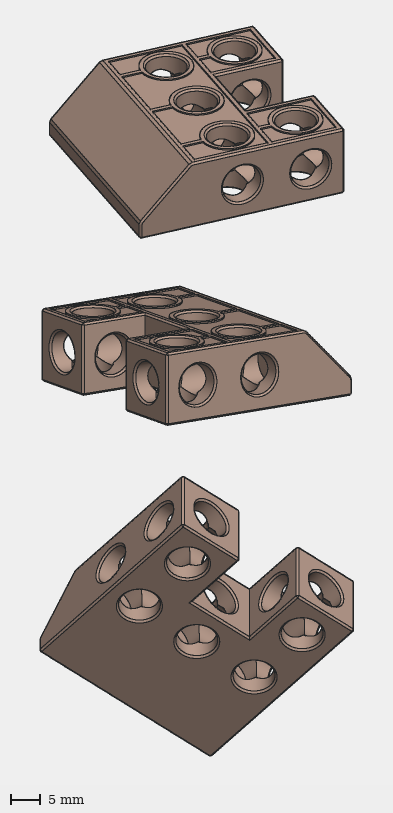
import cadquery as cq

unit = 12.5
units_per_side = 3
width = units_per_side * unit
length = units_per_side * unit
height = unit
side_x = width / 2
back_y = length / 2
front_y = -back_y
top_z = height / 2

notch_width = unit
notch_front_y = unit / 2

slope_run = 0.75 * unit

hole_diameter = 7.0
column_xs = (-unit, 0, unit)
arm_xs = (-unit, unit)
arm_hole_y = unit
side_hole_ys = (0, arm_hole_y)
back_bore_front_y = -unit / 2

edge_chamfer = 0.35

rib_width = 0.75
recess_depth = 0.25
rim_diameter = hole_diameter + 2 * edge_chamfer + 2 * rib_width


def make_body():
    """Sloped block with the rear slot and all convex edges bevelled."""
    body = (
        cq.Workplane("YZ")
        .moveTo(front_y, -top_z)
        .lineTo(back_y, -top_z)
        .lineTo(back_y, top_z)
        .lineTo(front_y + slope_run, top_z)
        .lineTo(front_y, top_z - slope_run)
        .close()
        .extrude(side_x, both=True)
    )
    notch_depth = back_y - notch_front_y
    notch_center = (0, (back_y + notch_front_y) / 2, 0)
    notch = cq.Workplane("XY").box(notch_width, notch_depth, height).translate(notch_center)
    corner_x = notch_width / 2 + edge_chamfer
    inner_corners = cq.selectors.BoxSelector(
        (-corner_x, notch_front_y - edge_chamfer, -edge_chamfer),
        (corner_x, notch_front_y + edge_chamfer, edge_chamfer),
    )
    body = body.cut(notch)
    convex_edges = cq.selectors.InverseSelector(inner_corners)
    return body.edges(convex_edges).chamfer(edge_chamfer)


def bore(start, end):
    """Straight bore from start to end."""
    axis = cq.Vector(*end) - cq.Vector(*start)
    return cq.Solid.makeCylinder(hole_diameter / 2, axis.Length, cq.Vector(*start), axis)


def mouth(center, outward):
    """Conical bevel where a bore meets a flat face with the given outward direction."""
    return cq.Solid.makeCone(
        hole_diameter / 2 + edge_chamfer,
        hole_diameter / 2,
        edge_chamfer,
        cq.Vector(*center),
        cq.Vector(*outward) * -1,
    )


def cut_upright_holes(body):
    """Through holes along Z: three across the main block and one in each arm."""
    spots = [(x, 0) for x in column_xs] + [(x, arm_hole_y) for x in arm_xs]
    for x, y in spots:
        body = body.cut(bore((x, y, -top_z), (x, y, top_z)))
        for direction in (-1, 1):
            body = body.cut(mouth((x, y, direction * top_z), (0, 0, direction)))
    return body


def cut_side_holes(body):
    """Through holes along X: one across the main block and one across both arms."""
    for y in side_hole_ys:
        body = body.cut(bore((-side_x, y, 0), (side_x, y, 0)))
        for direction in (-1, 1):
            body = body.cut(mouth((direction * side_x, y, 0), (direction, 0, 0)))
    for direction in (-1, 1):
        body = body.cut(mouth((direction * notch_width / 2, arm_hole_y, 0), (-direction, 0, 0)))
    return body


def cut_back_bores(body):
    """Blind bores along Y, opening in the arm ends and in the floor of the slot."""
    for x in column_xs:
        mouth_y = notch_front_y if x == 0 else back_y
        body = body.cut(bore((x, back_bore_front_y, 0), (x, mouth_y, 0)))
        body = body.cut(mouth((x, mouth_y, 0), (0, 1, 0)))
    return body


def recess(x_min, x_max, y_min, y_max, rims):
    """Rectangular recess that spares a rim around each hole and a rib from the rim forward."""
    floor_z = top_z - recess_depth
    pocket = (
        cq.Workplane("XY", origin=(0, 0, floor_z))
        .moveTo((x_min + x_max) / 2, (y_min + y_max) / 2)
        .rect(x_max - x_min, y_max - y_min)
        .extrude(recess_depth)
    )
    for x, y in rims:
        rim = cq.Workplane("XY", origin=(x, y, floor_z)).circle(rim_diameter / 2).extrude(recess_depth)
        rib_length = y - y_min
        rib = (
            cq.Workplane("XY", origin=(x, y - rib_length / 2, floor_z))
            .rect(rib_width, rib_length)
            .extrude(recess_depth)
        )
        pocket = pocket.cut(rim).cut(rib)
    return pocket


def cut_recesses(body):
    """Recesses over the main block and over each arm."""
    margin = edge_chamfer + rib_width
    outer_x = side_x - margin
    arm_inner_x = notch_width / 2 + margin
    arm_front_y = notch_front_y - edge_chamfer
    main_front_y = front_y + slope_run + margin
    main_back_y = arm_front_y - rib_width
    body = body.cut(recess(-outer_x, outer_x, main_front_y, main_back_y, [(x, 0) for x in column_xs]))
    arm_back_y = back_y - margin
    arm_recess = recess(arm_inner_x, outer_x, arm_front_y, arm_back_y, [(unit, arm_hole_y)])
    return body.cut(arm_recess).cut(arm_recess.mirror("YZ"))


result = make_body()
result = cut_upright_holes(result)
result = cut_side_holes(result)
result = cut_back_bores(result)
result = cut_recesses(result)